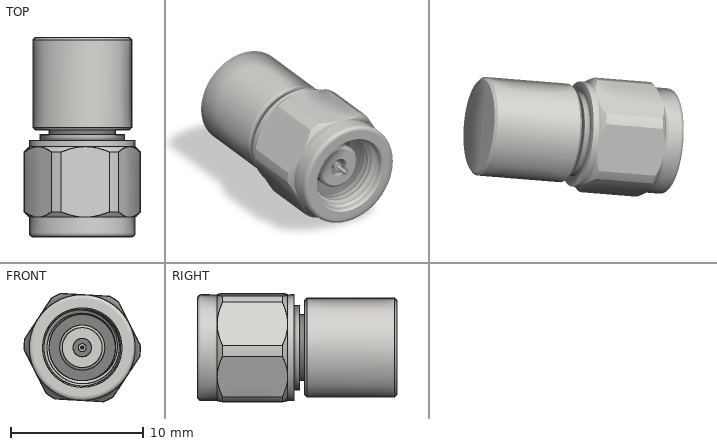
import cadquery as cq
import math


NUT_LENGTH = 7.31
COLLAR_RADIUS = 4.0
NUT_FRONT_FILLET = 0.3
HEX_SIDES = 6
HEX_FRONT = 1.5
HEX_BACK = 6.83
HEX_CORNER_RADIUS = 4.402
HEX_TILT = -3.3

BORE_RADIUS = 2.5
MOUTH_RADIUS = 3.0
COUNTERBORE_RADIUS = 2.9
MOUTH_CHAMFER_DEPTH = 0.14
COUNTERBORE_DEPTH = 0.47
LEAD_IN_DEPTH = 0.97
THREAD_ROOT_RADIUS = 2.88
THREAD_PITCH = 0.5
THREAD_CREST_WIDTH = 0.06
THREAD_FIRST_CREST = 0.89
THREAD_GROOVE_TURNS = 7
THREAD_OVERLAP = 0.02

BODY_LENGTH = 15.1
BARREL_RADIUS = 3.75
BARREL_FRONT = 8.1
BARREL_CHAMFER = 0.2
NECK_FRONT = 7.73
FLANGE_RADIUS = 3.2
SHOULDER_Y = 4.53
BOSS_FRONT = 1.54
BOSS_RADIUS = 1.7
BOSS_CHAMFER = 0.2
SOCKET_RADIUS = 0.7
SOCKET_DEPTH = 1.51

PIN_BASE_RADIUS = 0.3
PIN_RADIUS = 0.12
PIN_TIP_RADIUS = 0.03
PIN_TIP_Y = 0.45
PIN_TAPER_END = 0.85
PIN_STEP_Y = 1.66


def turned(points):
    """Solid of revolution about the Y axis from a closed (radius, y) outline."""
    return cq.Workplane("XY").polyline(points).close().revolve(360, (0, 0, 0), (0, 1, 0))


def disc(radius, front, back):
    """Cylinder on the Y axis between two y positions."""
    return cq.Workplane("XZ", origin=(0, front, 0)).circle(radius).extrude(front - back)


def hexagon():
    """Hexagonal grip with rounded corners and 45-degree chamfers; its flats meet the collar surface."""
    bevel = HEX_CORNER_RADIUS - COLLAR_RADIUS
    across_corners = 2 * COLLAR_RADIUS / math.cos(math.pi / HEX_SIDES)
    prism = (
        cq.Workplane("XZ", origin=(0, HEX_FRONT, 0))
        .polygon(HEX_SIDES, across_corners)
        .extrude(HEX_FRONT - HEX_BACK)
        .rotate((0, 0, 0), (0, 1, 0), -HEX_TILT)
    )
    envelope = turned(
        [
            (0, HEX_FRONT),
            (COLLAR_RADIUS, HEX_FRONT),
            (HEX_CORNER_RADIUS, HEX_FRONT + bevel),
            (HEX_CORNER_RADIUS, HEX_BACK - bevel),
            (COLLAR_RADIUS, HEX_BACK),
            (0, HEX_BACK),
        ]
    )
    return prism.intersect(envelope)


def nut_bore():
    """Through bore with a chamfered mouth, a counterbore and a conical lead-in."""
    return turned(
        [
            (0, 0),
            (MOUTH_RADIUS, 0),
            (COUNTERBORE_RADIUS, MOUTH_CHAMFER_DEPTH),
            (COUNTERBORE_RADIUS, COUNTERBORE_DEPTH),
            (BORE_RADIUS, LEAD_IN_DEPTH),
            (BORE_RADIUS, NUT_LENGTH),
            (0, NUT_LENGTH),
        ]
    )


def thread_groove():
    """Right-handed V groove that leaves flat crests on the bore."""
    half_mouth = (THREAD_PITCH - THREAD_CREST_WIDTH) / 2
    depth = THREAD_ROOT_RADIUS - BORE_RADIUS
    half_inner = half_mouth * (1 + THREAD_OVERLAP / depth)
    helix = cq.Wire.makeHelix(THREAD_PITCH, THREAD_PITCH * THREAD_GROOVE_TURNS, BORE_RADIUS)
    groove = (
        cq.Workplane("XZ")
        .polyline(
            [
                (BORE_RADIUS - THREAD_OVERLAP, -half_inner),
                (THREAD_ROOT_RADIUS, 0),
                (BORE_RADIUS - THREAD_OVERLAP, half_inner),
            ]
        )
        .close()
        .sweep(cq.Workplane(helix), isFrenet=True)
    )
    along_axis = groove.rotate((0, 0, 0), (1, 0, 0), -90)
    start = THREAD_FIRST_CREST - THREAD_PITCH
    return along_axis.rotate((0, 0, 0), (0, 1, 0), 180).translate((0, start, 0))


def coupling_nut():
    """Hex nut with round collars at both ends and an internally threaded bore."""
    collar = disc(COLLAR_RADIUS, 0, NUT_LENGTH).faces("<Y").edges().fillet(NUT_FRONT_FILLET)
    return collar.union(hexagon()).cut(nut_bore()).cut(thread_groove())


def connector_body():
    """Barrel, flange and neck with a front boss whose socket holds the centre pin."""
    socket_floor = BOSS_FRONT + SOCKET_DEPTH
    return turned(
        [
            (0, PIN_TIP_Y),
            (PIN_TIP_RADIUS, PIN_TIP_Y),
            (PIN_RADIUS, PIN_TAPER_END),
            (PIN_RADIUS, PIN_STEP_Y),
            (PIN_BASE_RADIUS, PIN_STEP_Y),
            (PIN_BASE_RADIUS, socket_floor),
            (SOCKET_RADIUS, socket_floor),
            (SOCKET_RADIUS, BOSS_FRONT),
            (BOSS_RADIUS - BOSS_CHAMFER, BOSS_FRONT),
            (BOSS_RADIUS, BOSS_FRONT + BOSS_CHAMFER),
            (BOSS_RADIUS, SHOULDER_Y),
            (BORE_RADIUS, SHOULDER_Y),
            (BORE_RADIUS, NUT_LENGTH),
            (FLANGE_RADIUS, NUT_LENGTH),
            (FLANGE_RADIUS, NECK_FRONT),
            (BORE_RADIUS, NECK_FRONT),
            (BORE_RADIUS, BARREL_FRONT),
            (BARREL_RADIUS - BARREL_CHAMFER, BARREL_FRONT),
            (BARREL_RADIUS, BARREL_FRONT + BARREL_CHAMFER),
            (BARREL_RADIUS, BODY_LENGTH - BARREL_CHAMFER),
            (BARREL_RADIUS - BARREL_CHAMFER, BODY_LENGTH),
            (0, BODY_LENGTH),
        ]
    )


nut = coupling_nut()
body = connector_body()
result = cq.Compound.makeCompound([nut.solids().val(), body.val()])